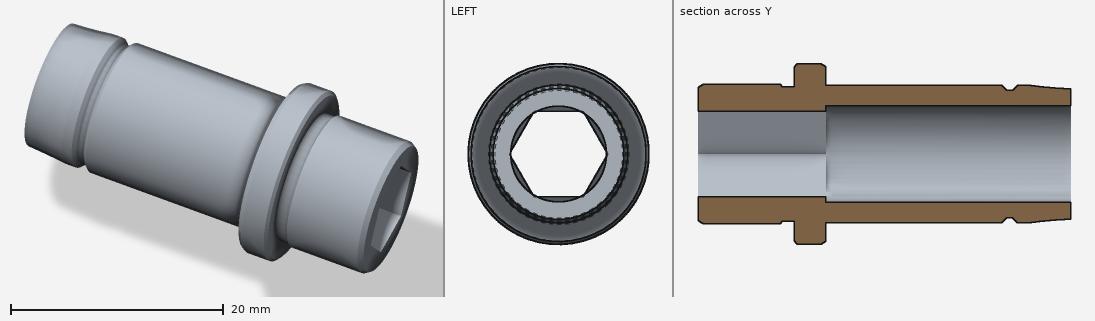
import cadquery as cq

length = 35.0

nose_length = 4.0
nose_tip_diameter = 12.3

body_diameter = 13.0
groove_start = 5.0
groove_depth = 0.5
groove_floor_width = 0.5

flange_diameter = 17.0
flange_start = 23.0
flange_width = 3.0
flange_front_chamfer_length = 0.45
flange_front_chamfer_height = 0.28
flange_back_chamfer_length = 0.28
flange_back_chamfer_height = 0.35

neck_diameter = 12.75
neck_length = 1.12

head_diameter = 13.2
head_front_chamfer_length = 0.15
head_back_chamfer_length = 0.5
head_back_chamfer_height = 0.3

bore_diameter = 9.0
hex_across_flats = 8.0
hex_turn = 90

body_radius = body_diameter / 2
flange_radius = flange_diameter / 2
neck_radius = neck_diameter / 2
head_radius = head_diameter / 2
flange_end = flange_start + flange_width
head_start = flange_end + neck_length
groove_floor_start = groove_start + groove_depth
groove_floor_end = groove_floor_start + groove_floor_width
groove_end = groove_floor_end + groove_depth
groove_radius = body_radius - groove_depth


def turned_blank():
    """Solid of revolution about X, with (x, radius) outline points."""
    outline = [
        (0, 0),
        (0, nose_tip_diameter / 2),
        (nose_length, body_radius),
        (groove_start, body_radius),
        (groove_floor_start, groove_radius),
        (groove_floor_end, groove_radius),
        (groove_end, body_radius),
        (flange_start, body_radius),
        (flange_start, flange_radius - flange_front_chamfer_height),
        (flange_start + flange_front_chamfer_length, flange_radius),
        (flange_end - flange_back_chamfer_length, flange_radius),
        (flange_end, flange_radius - flange_back_chamfer_height),
        (flange_end, neck_radius),
        (head_start, neck_radius),
        (head_start + head_front_chamfer_length, head_radius),
        (length - head_back_chamfer_length, head_radius),
        (length, head_radius - head_back_chamfer_height),
        (length, 0),
    ]
    return cq.Workplane("XY").polyline(outline).close().revolve(360, (0, 0, 0), (1, 0, 0))


def round_bore():
    """Cylinder from the nose face to the front of the flange."""
    return cq.Workplane("YZ").circle(bore_diameter / 2).extrude(flange_start)


def hex_socket():
    """Hexagonal prism with two flats facing +Z and -Z, open at the +X end."""
    return (
        cq.Workplane("YZ", origin=(flange_start, 0, 0))
        .polygon(6, hex_across_flats, circumscribed=True)
        .extrude(length - flange_start)
        .rotate((0, 0, 0), (1, 0, 0), hex_turn)
    )


result = turned_blank().cut(round_bore()).cut(hex_socket())